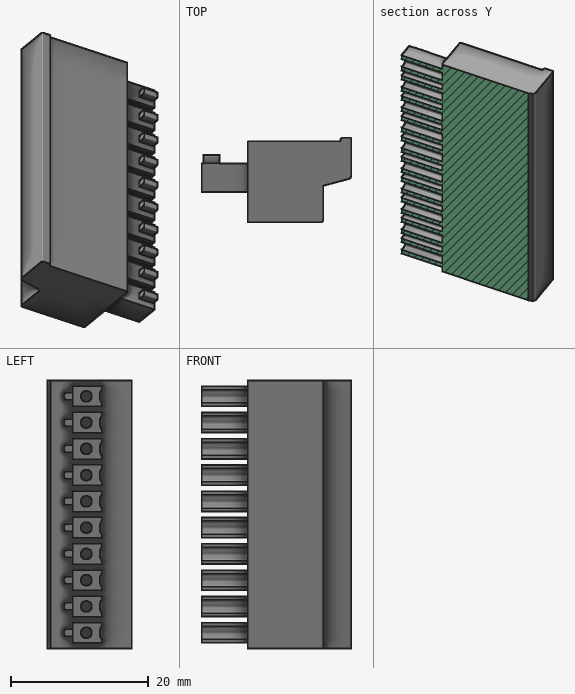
import cadquery as cq
import math

POLE_COUNT = 10
POLE_PITCH = 3.81
END_MARGIN = 0.79

HOUSING_HEIGHT = POLE_COUNT * POLE_PITCH + END_MARGIN
HOUSING_LENGTH = 15.06
HOUSING_DEPTH = 11.8
LOWER_LENGTH = 11.0
OVERHANG_Y = 5.3
OVERHANG_ANGLE = 15.0
LIP_WIDTH = 1.6
LIP_RISE = 0.5
LOWER_CORNER_RADIUS = 0.4
OVERHANG_TIP_RADIUS = 0.55
LIP_INNER_RADIUS = 0.4
LIP_OUTER_RADIUS = 0.2
HOUSING_EDGE_RADIUS = 0.25

POST_LENGTH = 6.65
POST_DEPTH = 4.15
POST_HEIGHT = 2.95
POST_CENTER_Y = 6.47
POST_Y_MIN = POST_CENTER_Y - POST_DEPTH / 2
POST_Y_MAX = POST_CENTER_Y + POST_DEPTH / 2
HOLE_CENTER_Y = 6.61
HOLE_DIAMETER = 1.6
GROOVE_WIDTH = 1.93
GROOVE_DEPTH = 0.3

TAB_TIP_SETBACK = 0.26
TAB_LENGTH = 2.34
TAB_RISE = 1.25
TAB_HEIGHT = 1.0
TAB_EDGE_RADIUS = 0.25


def edge_at(body, x, y):
    """Return the Z-parallel edge of the housing through (x, y)."""
    point = cq.Vector(x, y, HOUSING_HEIGHT / 2)
    return body.edges("|Z").edges(cq.selectors.NearestToPointSelector(point))


def make_housing():
    """Extrude the housing profile and round its long edges."""
    overhang_length = HOUSING_LENGTH - LOWER_LENGTH
    tip_y = OVERHANG_Y + overhang_length * math.tan(math.radians(OVERHANG_ANGLE))
    lip_x = HOUSING_LENGTH - LIP_WIDTH
    lip_y = HOUSING_DEPTH + LIP_RISE
    outline = [
        (0, 0),
        (LOWER_LENGTH, 0),
        (LOWER_LENGTH, OVERHANG_Y),
        (HOUSING_LENGTH, tip_y),
        (HOUSING_LENGTH, lip_y),
        (lip_x, lip_y),
        (lip_x, HOUSING_DEPTH),
        (0, HOUSING_DEPTH),
    ]
    body = cq.Workplane("XY").polyline(outline).close().extrude(HOUSING_HEIGHT)
    rounded_edges = [
        (LOWER_LENGTH, 0, LOWER_CORNER_RADIUS),
        (HOUSING_LENGTH, tip_y, OVERHANG_TIP_RADIUS),
        (HOUSING_LENGTH, lip_y, LIP_OUTER_RADIUS),
        (lip_x, lip_y, LIP_INNER_RADIUS),
        (0, HOUSING_DEPTH, HOUSING_EDGE_RADIUS),
    ]
    for x, y, radius in rounded_edges:
        body = edge_at(body, x, y).fillet(radius)
    return body


def make_post():
    """Build one post centred on Z = 0, with its groove, hole and tab."""
    half_height = POST_HEIGHT / 2
    half_groove = GROOVE_WIDTH / 2
    post = (
        cq.Workplane("YZ", origin=(-POST_LENGTH, 0, 0))
        .moveTo(POST_Y_MAX, -half_height)
        .lineTo(POST_Y_MAX, half_height)
        .lineTo(POST_Y_MIN, half_height)
        .lineTo(POST_Y_MIN, half_groove)
        .threePointArc((POST_Y_MIN + GROOVE_DEPTH, 0), (POST_Y_MIN, -half_groove))
        .lineTo(POST_Y_MIN, -half_height)
        .close()
        .extrude(POST_LENGTH)
    )
    hole = (
        cq.Workplane("YZ", origin=(-POST_LENGTH, HOLE_CENTER_Y, 0))
        .circle(HOLE_DIAMETER / 2)
        .extrude(POST_LENGTH)
    )
    return post.union(make_tab()).cut(hole)


def make_tab():
    """Build the tab of a post, rounded along its two outer X-parallel edges."""
    return (
        cq.Workplane("XY")
        .box(TAB_LENGTH, TAB_RISE, TAB_HEIGHT, centered=(False, False, True))
        .faces(">Y")
        .edges("|X")
        .fillet(TAB_EDGE_RADIUS)
        .translate((TAB_TIP_SETBACK - POST_LENGTH, POST_Y_MAX, 0))
    )


result = make_housing()
post = make_post()
first_post_z = (HOUSING_HEIGHT - (POLE_COUNT - 1) * POLE_PITCH) / 2
for index in range(POLE_COUNT):
    result = result.union(post.translate((0, 0, first_post_z + index * POLE_PITCH)))